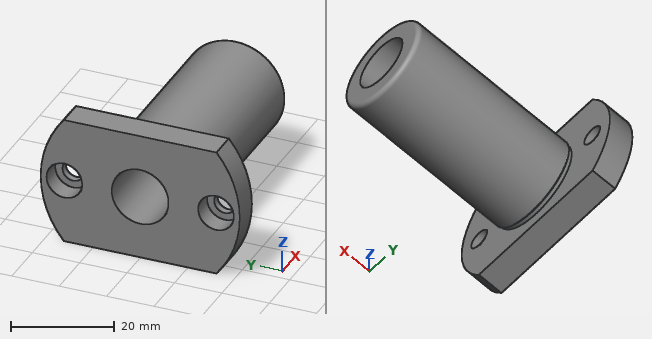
import cadquery as cq

total_length = 47.0
flange_diameter = 42.0
flange_height = 27.0
flange_thickness = 6.0

sleeve_diameter = 21.0
relief_diameter = 20.4
relief_width = 1.0
bore_diameter = 12.0
end_rounding = 1.0

screw_spacing = 32.0
screw_diameter = 4.5
counterbore_diameter = 7.5
counterbore_depth = 4.32


def cylinder_along_x(diameter, start, length, y=0):
    """Cylinder parallel to X, beginning at x = start."""
    return cq.Workplane("YZ", origin=(start, y, 0)).circle(diameter / 2).extrude(length)


def make_flange():
    """Disc trimmed to two flats, above and below the axis."""
    disc = cylinder_along_x(flange_diameter, 0, flange_thickness)
    flats = cq.Workplane("XY").box(2 * flange_thickness, flange_diameter, flange_height)
    return disc.intersect(flats)


def make_sleeve():
    """Sleeve with a rounded free end, joined to the flange by the relief."""
    relief = cylinder_along_x(relief_diameter, flange_thickness, relief_width)
    start = flange_thickness + relief_width
    sleeve = cylinder_along_x(sleeve_diameter, start, total_length - start)
    return relief.union(sleeve.faces(">X").edges().fillet(end_rounding))


def make_screw_hole(y):
    """Through hole with its counterbore in the outer flange face."""
    hole = cylinder_along_x(screw_diameter, 0, flange_thickness, y)
    counterbore = cylinder_along_x(counterbore_diameter, 0, counterbore_depth, y)
    return hole.union(counterbore)


result = make_flange().union(make_sleeve())
result = result.cut(cylinder_along_x(bore_diameter, 0, total_length))
for side in (-1, 1):
    result = result.cut(make_screw_hole(side * screw_spacing / 2))